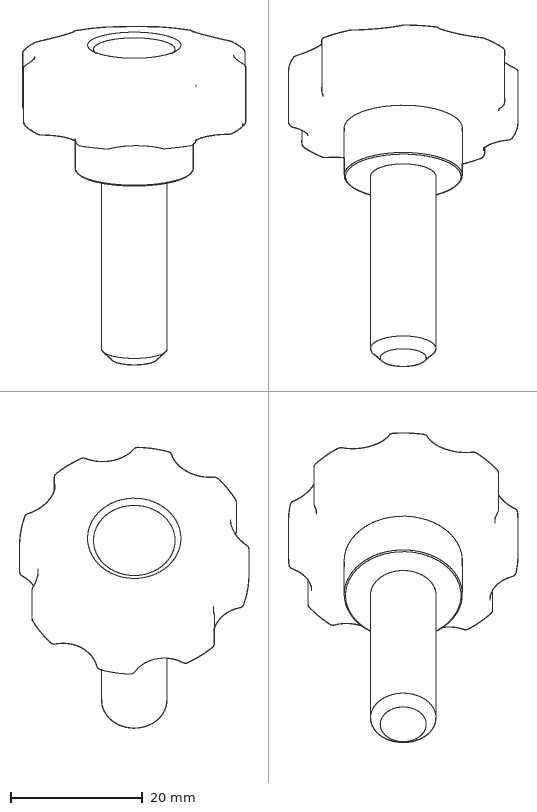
import cadquery as cq
import math

hub_bottom = 29.9
head_bottom = 37.9
dome_edge_height = 47.65
top_height = 49.65

stud_diameter = 10.0
tip_chamfer = 1.5

hub_diameter = 18.0
hub_chamfer = 0.2

head_radius = 17.5
scallop_count = 8
scallop_radius = 5.2
scallop_floor_radius = 15.15
corner_fillet = 0.75
top_fillet = 0.5
bottom_fillet = 1.0

recess_rim_radius = 7.1
recess_floor_radius = 6.2
recess_depth = 0.65

crown_clearance = 2.5


def cylinder(radius, bottom, top):
    return cq.Workplane("XY").workplane(offset=bottom).circle(radius).extrude(top - bottom)


def make_stud():
    stud = cylinder(stud_diameter / 2, 0, hub_bottom)
    return stud.faces("<Z").chamfer(tip_chamfer)


def make_hub():
    hub = cylinder(hub_diameter / 2, hub_bottom, head_bottom)
    return hub.faces("<Z").chamfer(hub_chamfer)


def make_grip():
    """Scalloped column with rounded corners that reaches past the crown of the dome."""
    grip_top = top_height + crown_clearance
    scallops = (
        cq.Workplane("XY")
        .workplane(offset=head_bottom)
        .polarArray(scallop_floor_radius + scallop_radius, 0, 360, scallop_count)
        .circle(scallop_radius)
        .extrude(grip_top - head_bottom)
    )
    grip = cylinder(head_radius, head_bottom, grip_top).cut(scallops)
    return grip.edges("|Z").fillet(corner_fillet)


def make_dome_sphere():
    """Sphere through the recess rim at the top and through the outer edge of the dome."""
    drop = top_height - dome_edge_height
    edge_above_center = (head_radius**2 - recess_rim_radius**2 - drop**2) / (2 * drop)
    sphere_radius = math.hypot(head_radius, edge_above_center)
    center_height = dome_edge_height - edge_above_center
    return cq.Workplane("XY").sphere(sphere_radius).translate((0, 0, center_height))


def make_recess():
    """Cone frustum from the recess floor, widening at the same taper past the crown."""
    floor_height = top_height - recess_depth
    taper = (recess_rim_radius - recess_floor_radius) / recess_depth
    frustum_top_height = top_height + crown_clearance
    frustum_top_radius = recess_rim_radius + taper * crown_clearance
    return (
        cq.Workplane("XZ")
        .moveTo(0, floor_height)
        .lineTo(recess_floor_radius, floor_height)
        .lineTo(frustum_top_radius, frustum_top_height)
        .lineTo(0, frustum_top_height)
        .close()
        .revolve(360, (0, 0, 0), (0, 1, 0))
    )


def make_head():
    head = make_grip().intersect(make_dome_sphere())
    head = head.faces(">Z").edges().fillet(top_fillet)
    head = head.faces("<Z").edges().fillet(bottom_fillet)
    return head.cut(make_recess())


result = make_head().union(make_hub()).union(make_stud())